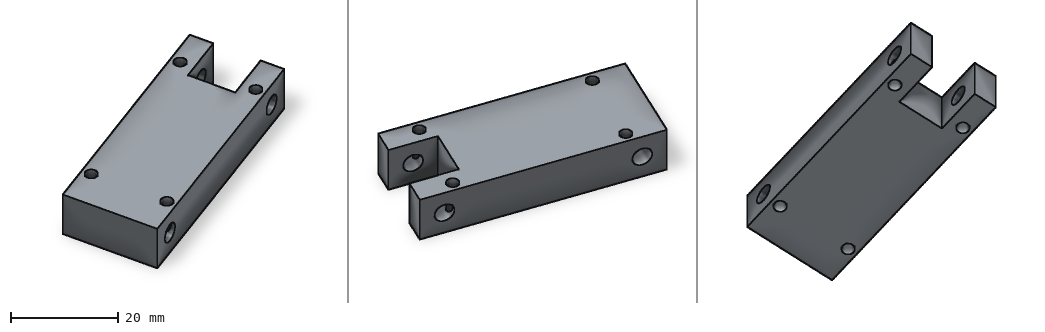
import cadquery as cq

width = 20.0
length = 50.0
height = 10.0

slot_width = width / 2
slot_depth = 10.0

mount_diameter = 2.5
mount_side_inset = 2.0
mount_end_inset = 7.5

cross_diameter = 4.0
cross_end_inset = slot_depth / 2

block = cq.Workplane("XY").box(width, length, height)

slot = (
    cq.Workplane("XY")
    .box(slot_width, slot_depth, height)
    .translate((0, (length - slot_depth) / 2, 0))
)

mount_holes = (
    cq.Workplane("XY")
    .rect(width - 2 * mount_side_inset, length - 2 * mount_end_inset, forConstruction=True)
    .vertices()
    .circle(mount_diameter / 2)
    .extrude(height, both=True)
)

cross_y = length / 2 - cross_end_inset
cross_holes = (
    cq.Workplane("YZ")
    .pushPoints([(-cross_y, 0), (cross_y, 0)])
    .circle(cross_diameter / 2)
    .extrude(width, both=True)
)

result = block.cut(slot).cut(mount_holes).cut(cross_holes)